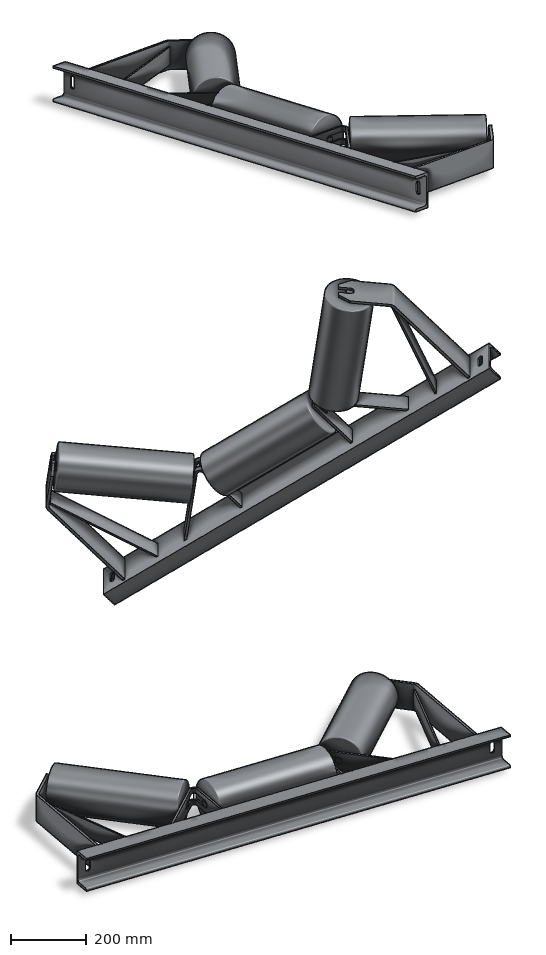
import cadquery as cq
import math


COS45 = math.sqrt(0.5)
TAN_HALF_45 = math.tan(math.radians(22.5))

channel_length = 1300.0
channel_height = 100.0
channel_depth = 48.0
web_thickness = 5.0
flange_thickness = 8.0
root_radius = 8.0
toe_radius = 5.0
slot_from_end = 30.0
slot_width = 14.0
slot_length = 36.0

roller_diameter = 133.0
roller_length = 360.0
rim_radius = 4.0
level_roller_y = 118.0
side_roller_x = 367.0
side_roller_y = 272.0
shaft_diameter = 21.0
shaft_flats = 14.0
shaft_overhang = 10.0
collar_diameter = 26.0
collar_length = 3.0

outer_thickness = 8.0
outer_width = 80.0
outer_leg_x = 581.0
outer_arm_offset = 191.0
outer_bend_radius = 18.0
outer_arm_length = 143.0
arm_tip_chamfer_along = 31.0
arm_tip_chamfer_across = 20.0

inner_thickness = 6.0
inner_width = 51.0
inner_leg_x = 186.0
inner_slope_offset = 187.0
inner_bend_radius = 12.0

stay_thickness = 5.0
stay_width = 51.0
stay_foot_x = 469.0

roller_radius = roller_diameter / 2

outer_corner_y = side_roller_y + side_roller_x - outer_leg_x + outer_arm_offset / COS45
inner_corner_y = side_roller_y + side_roller_x - inner_leg_x - inner_slope_offset / COS45


def make_channel():
    half_height = channel_height / 2
    inner_z = half_height - flange_thickness
    block = cq.Workplane("XY").box(
        channel_length, channel_depth, channel_height, centered=(True, False, True)
    ).translate((0, -channel_depth, 0))
    trough_depth = channel_depth - web_thickness
    trough = (
        cq.Workplane("XY")
        .box(channel_length, trough_depth, 2 * inner_z, centered=(True, False, True))
        .translate((0, -channel_depth, 0))
        .edges("|X and >Y")
        .fillet(root_radius)
    )
    toe_edges = cq.selectors.BoxSelector(
        (-channel_length, -channel_depth - toe_radius, -inner_z - toe_radius / 2),
        (channel_length, -channel_depth + toe_radius, inner_z + toe_radius / 2),
    )
    channel = block.cut(trough).edges("|X").edges(toe_edges).fillet(toe_radius)
    slot_x = channel_length / 2 - slot_from_end
    slots = (
        cq.Workplane("XZ")
        .pushPoints([(-slot_x, 0), (slot_x, 0)])
        .slot2D(slot_length, slot_width, 90)
        .extrude(channel_depth)
    )
    return channel.cut(slots)


def rod(radius, length):
    """A round rod along X, centred on the origin."""
    return cq.Workplane("YZ", origin=(-length / 2, 0, 0)).circle(radius).extrude(length)


def make_roller():
    """A roller along X, centred on the origin, with its shaft ends flattened top and bottom."""
    shaft_length = roller_length + 2 * shaft_overhang
    barrel = rod(roller_radius, roller_length).faces("|X").edges().fillet(rim_radius)
    collars = rod(collar_diameter / 2, roller_length + 2 * collar_length)
    shaft = rod(shaft_diameter / 2, shaft_length)
    flats = cq.Workplane("XY").box(shaft_length, shaft_diameter, shaft_flats)
    return barrel.union(collars).union(shaft.intersect(flats))


def on_side_roller(along, across):
    """Point at a distance outwards along the left roller axis and upwards across it."""
    x = -side_roller_x + (across - along) * COS45
    y = side_roller_y + (across + along) * COS45
    return x, y


def open_slot(bottom, top):
    """Cutter for a shaft slot with a round bottom, running from one XY point to another."""
    length = math.dist(bottom, top)
    angle = math.degrees(math.atan2(top[1] - bottom[1], top[0] - bottom[0]))
    reach = 2 * outer_thickness
    seat = cq.Workplane("XZ").circle(shaft_diameter / 2).extrude(reach / 2, both=True)
    run = cq.Workplane("XY").box(length, reach, shaft_diameter, centered=(False, True, True))
    return seat.union(run).rotate((0, 0, 0), (0, 0, 1), angle).translate((*bottom, 0))


def make_outer_bracket():
    """Left outer bracket."""
    corner_x = -outer_leg_x
    corner_y = outer_corner_y
    setback = outer_bend_radius * TAN_HALF_45
    bend_end = (corner_x + setback * COS45, corner_y + setback * COS45)
    tip = (corner_x + outer_arm_length * COS45, corner_y + outer_arm_length * COS45)
    path = (
        cq.Workplane("XY")
        .moveTo(corner_x, 0)
        .lineTo(corner_x, corner_y - setback)
        .tangentArcPoint(bend_end, relative=False)
        .lineTo(*tip)
    )
    strip = (
        cq.Workplane("XZ", origin=(corner_x, 0, 0))
        .rect(outer_thickness, outer_width)
        .sweep(path)
    )
    half_width = outer_width / 2
    corner_cut = (
        cq.Workplane("XZ")
        .moveTo(0, half_width)
        .lineTo(-arm_tip_chamfer_along, half_width)
        .lineTo(0, half_width - arm_tip_chamfer_across)
        .close()
        .extrude(outer_thickness, both=True)
        .rotate((0, 0, 0), (0, 0, 1), 45)
        .translate((*tip, 0))
    )
    slot = open_slot(on_side_roller(outer_arm_offset, 0), tip)
    return strip.cut(corner_cut).cut(corner_cut.mirror("XY")).cut(slot)


def make_inner_bracket():
    """Left inner bracket."""
    corner_x = -inner_leg_x
    corner_y = inner_corner_y
    setback = inner_bend_radius / TAN_HALF_45
    bend_start_y = corner_y - setback
    bend_end = (corner_x - setback * COS45, corner_y - setback * COS45)
    below_base = -inner_width
    path = (
        cq.Workplane("XY")
        .moveTo(corner_x, 0)
        .lineTo(corner_x, bend_start_y)
        .tangentArcPoint(bend_end, relative=False)
        .lineTo(corner_x - corner_y + below_base, below_base)
    )
    strip = (
        cq.Workplane("XZ", origin=(corner_x, 0, 0))
        .rect(inner_thickness, inner_width)
        .sweep(path)
    )
    above_base = cq.Workplane("XY").box(
        channel_length, 2 * corner_y, channel_height, centered=(True, False, True)
    )
    upright_slot = open_slot((corner_x, level_roller_y), (corner_x, corner_y))
    sloping_slot = open_slot(on_side_roller(-inner_slope_offset, 0), (corner_x, corner_y))
    return strip.intersect(above_base).cut(upright_slot).cut(sloping_slot)


def make_stay(outer_bracket):
    """Left stay: a thin plate from the channel up into the inside corner of the outer bracket."""
    top_x = -outer_leg_x + outer_thickness / 2
    top_y = outer_corner_y - outer_thickness / 2 * TAN_HALF_45
    plate = (
        cq.Workplane("XY")
        .moveTo(-stay_foot_x - stay_thickness / 2, 0)
        .lineTo(-stay_foot_x + stay_thickness / 2, 0)
        .lineTo(top_x + stay_thickness, top_y)
        .lineTo(top_x, top_y)
        .close()
        .extrude(stay_width / 2, both=True)
    )
    return plate.cut(outer_bracket)


channel = make_channel()
level_roller = make_roller().translate((0, level_roller_y, 0))
side_roller = (
    make_roller().rotate((0, 0, 0), (0, 0, 1), -45).translate((-side_roller_x, side_roller_y, 0))
)
outer_bracket = make_outer_bracket()

bodies = [channel.val(), level_roller.val()]
for left_body in (side_roller, outer_bracket, make_inner_bracket(), make_stay(outer_bracket)):
    bodies.append(left_body.val())
    bodies.append(left_body.mirror("YZ").val())

result = cq.Compound.makeCompound(bodies)